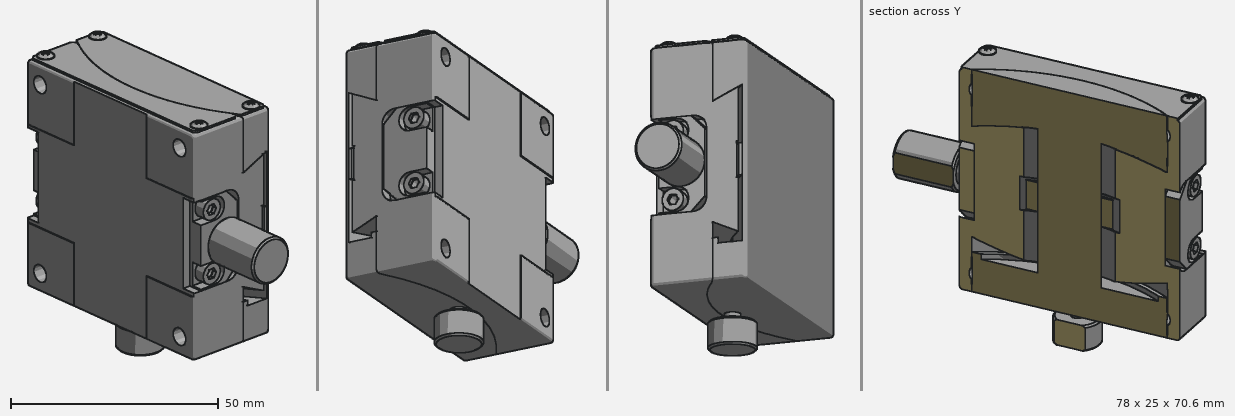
import cadquery as cq
import math

SIDE = 60.0
DEPTH = 25.0
EDGE_RADIUS = 1.0
MID_Z = SIDE / 2
HALF = SIDE / 2

GUIDE_RADIUS = 54.0
GUIDE_LOW_Y = 7.2
PIVOT_Y = GUIDE_LOW_Y + GUIDE_RADIUS
DOVETAIL_NECK = 15.1
DOVETAIL_FLANK_ANGLE = 29.0
DOVETAIL_HEIGHT = 5.35
DOVETAIL_TOP_RADIUS = GUIDE_RADIUS - DOVETAIL_HEIGHT
GROOVE_DEPTH = 6.15
CEILING_RADIUS = GUIDE_RADIUS - GROOVE_DEPTH
GROOVE_FLOOR_Z = 9.5
LIP_Z = 10.9
LIP_HEIGHT = 1.2
LIP_RADIUS = GUIDE_RADIUS - LIP_HEIGHT

RACK_WIDTH = 8.0
RACK_THICKNESS = 0.65
RACK_SLOT_WIDTH = 9.0
RACK_SLOT_DEPTH = 0.3

RELIEF_WIDTH = 26.0
RELIEF_DEPTH = 0.3
MOUNT_HOLE_DIAMETER = 4.5
MOUNT_HOLE_PITCH = 50.0

POCKET_LENGTH = 24.0
POCKET_DEPTH = 4.0
POCKET_TOP_Y = 14.75
POCKET_CORNER = 3.5
PLATE_LOW_Y = 2.45
PLATE_TOP_Y = 14.25
PLATE_CORNER = 3.5
HEAD_SLOT_WIDTH = 6.2
HEAD_SLOT_CENTER_Y = 7.0
CAP_HEAD_DIAMETER = 5.5
CAP_HEAD_HEIGHT = 3.0
CAP_HEAD_Y = 6.0
CAP_SCREW_PITCH = 17.0
HEX_ACROSS_CORNERS = 2.9
HEX_DEPTH = 1.2
HEX_CONE_DEPTH = 0.8

SCALE_THICKNESS = 0.5
SCALE_HALF_LENGTH = 29.5
SCALE_EDGE_GAP = 1.0
BASE_SCALE_TOP_Y = 14.9
SCALE_CORNER = 0.8
PAN_HEAD_DIAMETER = 4.3
PAN_HEAD_HEIGHT = 1.15
PAN_RIM_HEIGHT = 0.2
PAN_SCREW_X = 27.5
BASE_SCREW_Y = 4.1
STAGE_SCREW_Y = 21.1
CROSS_LENGTH = 2.0
CROSS_WIDTH = 0.6
CROSS_DEPTH = 0.8

KNOB_DIAMETER = 12.0
KNOB_CHAMFER = 0.5
DRIVE_Y = 9.0
DRIVE_START_X = 30.5
DRIVE_COLLAR_DIAMETER = 8.0
DRIVE_COLLAR_LENGTH = 1.0
DRIVE_LENGTH = 16.5
CLAMP_Y = 10.0
CLAMP_BUSH_DIAMETER = 4.0
CLAMP_BUSH_LENGTH = 1.0
CLAMP_NECK_DIAMETER = 3.3
CLAMP_NECK_LENGTH = 1.0
CLAMP_LENGTH = 7.0


def revolve_about_pivot(outline):
    """Full ring about the pivot axis from an outline of (radius, Z) points."""
    plane = cq.Workplane("XZ", origin=(0, PIVOT_Y, 0))
    return plane.polyline(outline).close().revolve(360, (0, 0), (0, 1))


def ring(inner, outer, low, high):
    """Plain ring about the pivot axis with a rectangular section."""
    return revolve_about_pivot([(inner, low), (outer, low), (outer, high), (inner, high)])


def block():
    body = cq.Workplane("XY").box(SIDE, DEPTH, SIDE).edges().fillet(EDGE_RADIUS)
    return body.translate((0, DEPTH / 2, MID_Z))


def guide_disc(height, low):
    """Everything on the pivot side of the guide arc."""
    return cq.Workplane("XY", origin=(0, PIVOT_Y, low)).circle(GUIDE_RADIUS).extrude(height)


def dovetail_half_width(radius):
    height = GUIDE_RADIUS - radius
    return DOVETAIL_NECK + height * math.tan(math.radians(DOVETAIL_FLANK_ANGLE))


def pan_head(x, y):
    """Domed head on a low rim, with a cross recess, standing on a scale face."""
    radius = PAN_HEAD_DIAMETER / 2
    dome_height = PAN_HEAD_HEIGHT - PAN_RIM_HEIGHT
    dome_radius = (radius ** 2 + dome_height ** 2) / (2 * dome_height)
    half_angle = math.asin(radius / dome_radius) / 2
    mid_x = dome_radius * math.sin(half_angle)
    mid_z = PAN_HEAD_HEIGHT - dome_radius * (1 - math.cos(half_angle))
    head = cq.Workplane("XZ").lineTo(radius, 0).lineTo(radius, PAN_RIM_HEIGHT) \
        .threePointArc((mid_x, mid_z), (0, PAN_HEAD_HEIGHT)).close().revolve(360, (0, 0), (0, 1))
    for length, width in ((CROSS_LENGTH, CROSS_WIDTH), (CROSS_WIDTH, CROSS_LENGTH)):
        arm = cq.Workplane("XY", origin=(0, 0, PAN_HEAD_HEIGHT)).rect(length, width).extrude(-CROSS_DEPTH)
        head = head.cut(arm)
    return head.translate((x, y, SIDE + SCALE_THICKNESS))


def scale_blank(low_y, high_y):
    """Thin plate with chamfered corners on the top face of the block."""
    blank = cq.Workplane("XY").box(2 * SCALE_HALF_LENGTH, high_y - low_y, SCALE_THICKNESS) \
        .edges("|Z").chamfer(SCALE_CORNER)
    return blank.translate((0, (low_y + high_y) / 2, SIDE + SCALE_THICKNESS / 2))


def add_pan_heads(plate, y):
    for x in (-PAN_SCREW_X, PAN_SCREW_X):
        plate = plate.union(pan_head(x, y))
    return plate


def base_scale():
    plate = scale_blank(SCALE_EDGE_GAP, BASE_SCALE_TOP_Y).cut(guide_disc(SCALE_THICKNESS, SIDE))
    return add_pan_heads(plate, BASE_SCREW_Y)


def stage_scale():
    plate = scale_blank(SCALE_EDGE_GAP, DEPTH - SCALE_EDGE_GAP).intersect(guide_disc(SCALE_THICKNESS, SIDE))
    return add_pan_heads(plate, STAGE_SCREW_Y)


def dovetail():
    top = dovetail_half_width(DOVETAIL_TOP_RADIUS)
    rail = revolve_about_pivot([
        (GUIDE_RADIUS, MID_Z - DOVETAIL_NECK),
        (GUIDE_RADIUS, MID_Z + DOVETAIL_NECK),
        (DOVETAIL_TOP_RADIUS, MID_Z + top),
        (DOVETAIL_TOP_RADIUS, MID_Z - top),
    ])
    slot_radius = DOVETAIL_TOP_RADIUS + RACK_SLOT_DEPTH
    half_slot = RACK_SLOT_WIDTH / 2
    return rail.cut(ring(CEILING_RADIUS, slot_radius, MID_Z - half_slot, MID_Z + half_slot))


def relief():
    upright = cq.Workplane("XY").box(RELIEF_WIDTH, 2 * RELIEF_DEPTH, SIDE)
    level = cq.Workplane("XY").box(SIDE, 2 * RELIEF_DEPTH, RELIEF_WIDTH)
    return upright.union(level).translate((0, 0, MID_Z))


def mount_holes():
    face = cq.Workplane("XZ", origin=(0, 0, MID_Z))
    return face.rect(MOUNT_HOLE_PITCH, MOUNT_HOLE_PITCH, forConstruction=True) \
        .vertices().circle(MOUNT_HOLE_DIAMETER / 2).extrude(-DEPTH)


def side_slab(low_y, high_y):
    """Slab as deep as the side pocket, lying against the -X face."""
    return cq.Workplane("XY").box(POCKET_DEPTH, high_y - low_y, POCKET_LENGTH) \
        .translate((POCKET_DEPTH / 2 - HALF, (low_y + high_y) / 2, MID_Z))


def side_pocket():
    return side_slab(0, POCKET_TOP_Y).edges("|X and >Y").fillet(POCKET_CORNER)


def base():
    body = block().cut(guide_disc(SIDE, 0).cut(dovetail()))
    body = body.cut(relief()).cut(mount_holes().intersect(block().cut(guide_disc(SIDE, 0))))
    pocket = side_pocket()
    body = body.cut(pocket).cut(pocket.mirror("YZ"))
    return body.union(base_scale())


def bearing_plate():
    """Chamfered plate with two open slots, each holding a socket cap screw head."""
    plate = side_slab(PLATE_LOW_Y, PLATE_TOP_Y).edges("|X and >Y").chamfer(PLATE_CORNER)
    face = cq.Workplane("YZ", origin=(-HALF, 0, 0))
    for z in (MID_Z - CAP_SCREW_PITCH / 2, MID_Z + CAP_SCREW_PITCH / 2):
        slot_end = face.center(HEAD_SLOT_CENTER_Y, z).circle(HEAD_SLOT_WIDTH / 2).extrude(CAP_HEAD_HEIGHT)
        slot_run = face.center(HEAD_SLOT_CENTER_Y / 2, z) \
            .rect(HEAD_SLOT_CENTER_Y, HEAD_SLOT_WIDTH).extrude(CAP_HEAD_HEIGHT)
        head = face.center(CAP_HEAD_Y, z).circle(CAP_HEAD_DIAMETER / 2).extrude(CAP_HEAD_HEIGHT)
        socket = face.center(CAP_HEAD_Y, z).polygon(6, HEX_ACROSS_CORNERS).extrude(HEX_DEPTH)
        cone = cq.Solid.makeCone(HEX_ACROSS_CORNERS / 2, 0, HEX_CONE_DEPTH,
                                 cq.Vector(HEX_DEPTH - HALF, CAP_HEAD_Y, z), cq.Vector(1, 0, 0))
        plate = plate.cut(slot_end).cut(slot_run).union(head).cut(socket).cut(cq.Workplane(cone))
    return plate


def stage():
    groove = revolve_about_pivot([
        (CEILING_RADIUS, GROOVE_FLOOR_Z),
        (LIP_RADIUS, GROOVE_FLOOR_Z),
        (LIP_RADIUS, LIP_Z),
        (GUIDE_RADIUS, LIP_Z),
        (GUIDE_RADIUS, MID_Z + DOVETAIL_NECK),
        (CEILING_RADIUS, MID_Z + dovetail_half_width(CEILING_RADIUS)),
    ])
    return block().intersect(guide_disc(SIDE, 0)).cut(groove).union(stage_scale())


def rack():
    low = MID_Z - RACK_WIDTH / 2
    strip = ring(CEILING_RADIUS, CEILING_RADIUS + RACK_THICKNESS, low, low + RACK_WIDTH)
    return strip.intersect(block())


def knob_grip(plane, length):
    return plane.circle(KNOB_DIAMETER / 2).extrude(length).edges().chamfer(KNOB_CHAMFER)


def drive_knob():
    collar_plane = cq.Workplane("YZ", origin=(DRIVE_START_X, DRIVE_Y, MID_Z))
    grip_plane = collar_plane.workplane(offset=DRIVE_COLLAR_LENGTH)
    collar = collar_plane.circle(DRIVE_COLLAR_DIAMETER / 2).extrude(DRIVE_COLLAR_LENGTH)
    return knob_grip(grip_plane, DRIVE_LENGTH).union(collar)


def clamp_knob():
    bush_plane = cq.Workplane("XY", origin=(0, CLAMP_Y, 0))
    neck_plane = bush_plane.workplane(offset=-CLAMP_BUSH_LENGTH)
    grip_plane = neck_plane.workplane(offset=-CLAMP_NECK_LENGTH)
    bush = bush_plane.circle(CLAMP_BUSH_DIAMETER / 2).extrude(-CLAMP_BUSH_LENGTH)
    neck = neck_plane.circle(CLAMP_NECK_DIAMETER / 2).extrude(-CLAMP_NECK_LENGTH)
    return knob_grip(grip_plane, -CLAMP_LENGTH).union(neck).union(bush)


left_plate = bearing_plate()
right_plate = left_plate.mirror("YZ")

result = cq.Compound.makeCompound([
    *base().solids().vals(),
    *stage().solids().vals(),
    *left_plate.solids().vals(),
    *right_plate.solids().vals(),
    *rack().solids().vals(),
    *drive_knob().solids().vals(),
    *clamp_knob().solids().vals(),
])